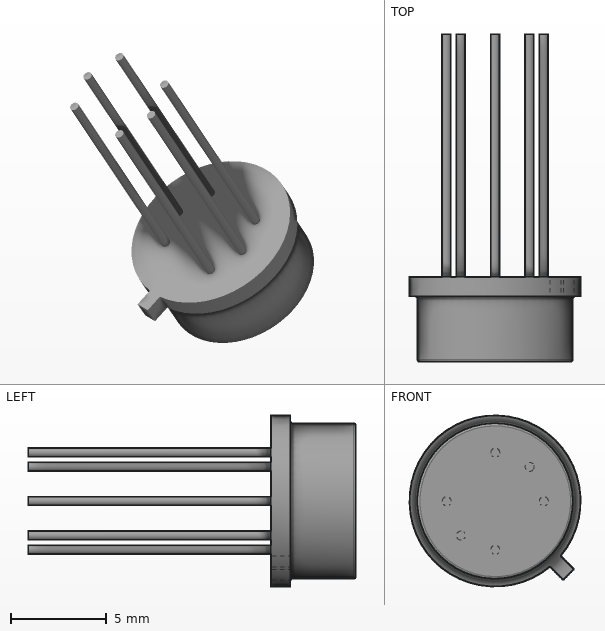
import cadquery as cq

total_length = 17.14
lead_length = 12.7
flange_thickness = 1.02
cap_height = total_length - lead_length - flange_thickness

flange_diameter = 8.96
cap_diameter = 8.13
cap_edge_radius = 0.125

tab_width = 0.8
tab_reach = 5.44
tab_angle = -45

lead_diameter = 0.47
lead_circle_diameter = 5.08
lead_places = 8
empty_lead_angles = (tab_angle % 360, (tab_angle + 180) % 360)


def cylinder(diameter, start_y, end_y):
    """Cylinder on the part axis between two Y positions."""
    disc = cq.Workplane("XZ", origin=(0, start_y, 0)).circle(diameter / 2)
    return disc.extrude(start_y - end_y)


def turn(body, angle):
    """Turn a body about the part axis, from +X toward +Z."""
    return body.rotate((0, 0, 0), (0, 1, 0), -angle)


def make_can():
    """Flange and cap, with a rounded cap rim and a rounded corner at the cap foot."""
    flange = cylinder(flange_diameter, 0, -flange_thickness)
    cap_end_y = -flange_thickness - cap_height
    cap = cylinder(cap_diameter, -flange_thickness, cap_end_y)
    cap = cap.faces("<Y").edges().fillet(cap_edge_radius)
    can = flange.union(cap)

    edge_limit = cap_diameter / 2 + cap_edge_radius / 2
    foot_zone = cq.selectors.BoxSelector(
        (-edge_limit, -flange_thickness - cap_edge_radius / 2, -edge_limit),
        (edge_limit, -flange_thickness + cap_edge_radius / 2, edge_limit),
        boundingbox=True,
    )
    return can.edges("%CIRCLE").edges(foot_zone).fillet(cap_edge_radius)


def make_tab():
    """Radial tab as thick as the flange, starting inside it."""
    tab = cq.Workplane("XY").box(
        tab_reach / 2, flange_thickness, tab_width, centered=(False, False, True)
    )
    tab = tab.translate((tab_reach / 2, -flange_thickness, 0))
    return turn(tab, tab_angle)


def make_lead(angle):
    """Straight round lead standing on the seating face."""
    lead = cylinder(lead_diameter, 0, lead_length)
    return turn(lead.translate((lead_circle_diameter / 2, 0, 0)), angle)


result = make_can().union(make_tab())
for place in range(lead_places):
    lead_angle = place * 360 / lead_places
    if lead_angle not in empty_lead_angles:
        result = result.union(make_lead(lead_angle))